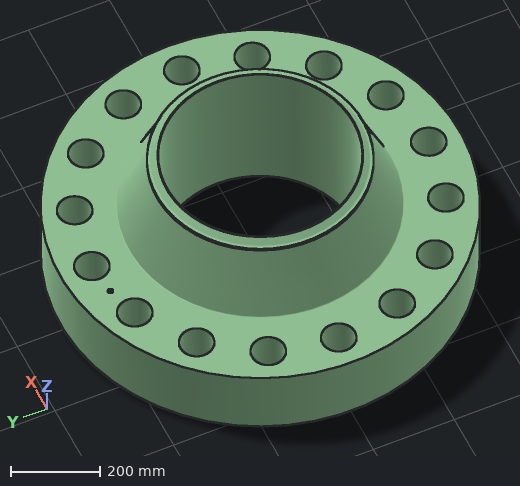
import cadquery as cq
import math

INCH = 25.4

flange_diameter = 38.75 * INCH
flange_thickness = 7.0 * INCH
bore_diameter = 18.0 * INCH

raised_face_diameter = 26.5 * INCH
raised_face_height = 17.48

hub_length = 7.0 * INCH
hub_base_diameter = 25.25 * INCH
hub_base_fillet = 3.0
weld_end_diameter = 20.0 * INCH
weld_end_band_height = 6.0

root_land_width = 1.6
bevel_width = 16.5
bevel_angle = 37.5
bevel_foot_fillet = 3.0

bolt_circle_diameter = 32.75 * INCH
bolt_count = 16
bolt_hole_diameter = 3.125 * INCH

bolt_pitch_angle = 360.0 / bolt_count
small_hole_diameter = 8.0
small_hole_depth = 20.0
small_hole_angle = 90.0 + bolt_pitch_angle / 2
countersink_diameter = 12.0
countersink_angle = 90.0

plate_bottom_z = raised_face_height
plate_top_z = plate_bottom_z + flange_thickness
weld_end_z = plate_top_z + hub_length


def circle_at(radius, z):
    """Select the edge around the Z axis that has this radius and height."""
    margin = 0.1
    reach = radius + margin
    return cq.selectors.BoxSelector(
        (-reach, -reach, z - margin), (reach, reach, z + margin), boundingbox=True
    )


def make_body():
    """Revolve the half section of the flange, bore included, about Z."""
    bore_radius = bore_diameter / 2
    weld_end_radius = weld_end_diameter / 2
    hub_base_radius = hub_base_diameter / 2
    land_radius = bore_radius + root_land_width
    bevel_foot_radius = land_radius + bevel_width

    ledge_z = weld_end_z - bevel_width * math.tan(math.radians(bevel_angle))
    weld_band_bottom_z = ledge_z - weld_end_band_height

    section = [
        (bore_radius, 0),
        (raised_face_diameter / 2, 0),
        (raised_face_diameter / 2, plate_bottom_z),
        (flange_diameter / 2, plate_bottom_z),
        (flange_diameter / 2, plate_top_z),
        (hub_base_radius, plate_top_z),
        (weld_end_radius, weld_band_bottom_z),
        (weld_end_radius, ledge_z),
        (bevel_foot_radius, ledge_z),
        (land_radius, weld_end_z),
        (bore_radius, weld_end_z),
    ]
    body = cq.Workplane("XZ").polyline(section).close().revolve(360, (0, 0), (0, 1))
    body = body.edges(circle_at(hub_base_radius, plate_top_z)).fillet(hub_base_fillet)
    return body.edges(circle_at(bevel_foot_radius, ledge_z)).fillet(bevel_foot_fillet)


def make_bolt_holes():
    """Through holes evenly spaced on the bolt circle."""
    return (
        cq.Workplane("XY")
        .polarArray(bolt_circle_diameter / 2, 0, 360, bolt_count)
        .circle(bolt_hole_diameter / 2)
        .extrude(plate_top_z)
    )


def drill_small_hole(body):
    """Drill the countersunk blind hole down from the top of the plate."""
    angle = math.radians(small_hole_angle)
    radius = bolt_circle_diameter / 2
    return (
        body.copyWorkplane(cq.Workplane("XY", origin=(0, 0, plate_top_z)))
        .center(radius * math.cos(angle), radius * math.sin(angle))
        .cskHole(small_hole_diameter, countersink_diameter, countersink_angle, small_hole_depth)
    )


result = drill_small_hole(make_body().cut(make_bolt_holes()))